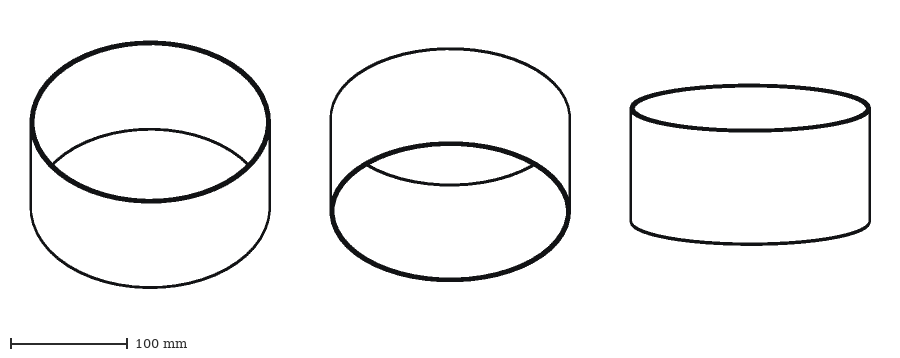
import cadquery as cq

outer_diameter = 205.0
height = 100.0
wall = 2.5

bevel_width = 0.45
bevel_height = 1.2

outer_radius = outer_diameter / 2
inner_radius = outer_radius - wall


def half_sleeve(start_angle):
    """Half of the tube, swept 180 degrees about Z from the given angle."""
    section = (
        cq.Workplane("XZ")
        .moveTo(inner_radius + bevel_width, 0)
        .lineTo(outer_radius - bevel_width, 0)
        .lineTo(outer_radius, bevel_height)
        .lineTo(outer_radius, height - bevel_height)
        .lineTo(outer_radius - bevel_width, height)
        .lineTo(inner_radius + bevel_width, height)
        .lineTo(inner_radius, height - bevel_height)
        .lineTo(inner_radius, bevel_height)
        .close()
    )
    half = section.revolve(180, (0, 0, 0), (0, 1, 0))
    return half.rotate((0, 0, 0), (0, 0, 1), start_angle)


result = half_sleeve(90).union(half_sleeve(-90), clean=False)